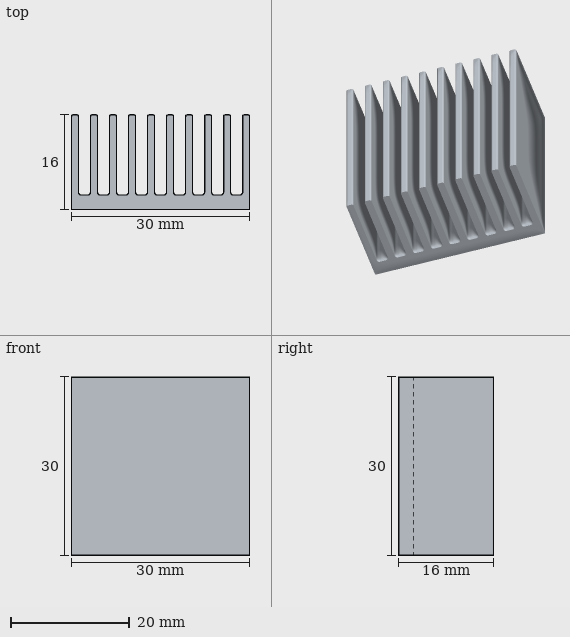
import cadquery as cq

width = 30.0
depth = 16.0
height = 30.0

base_thickness = 2.5
fin_count = 10
fin_thickness = 1.2
tip_radius = 0.3
root_radius = 0.48

fin_pitch = (width - fin_thickness) / (fin_count - 1)
gap_width = fin_pitch - fin_thickness
fin_length = depth - base_thickness


def make_blank():
    """Solid block with its base face on the XZ plane."""
    return cq.Workplane("XY").box(width, depth, height, centered=(True, False, True))


def cut_gaps(body):
    """Cut the channels between fins, rounded at their floor corners."""
    gap_centers = [((i - (fin_count - 2) / 2) * fin_pitch, 0) for i in range(fin_count - 1)]
    gaps = (
        cq.Workplane("XY")
        .workplane(offset=-height / 2)
        .center(0, base_thickness + fin_length / 2)
        .pushPoints(gap_centers)
        .rect(gap_width, fin_length)
        .extrude(height)
        .edges("|Z and <Y")
        .fillet(root_radius)
    )
    return body.cut(gaps)


def round_tips(body):
    """Round both long edges at the free end of every fin."""
    return body.faces(">Y").edges("|Z").fillet(tip_radius)


result = round_tips(cut_gaps(make_blank()))